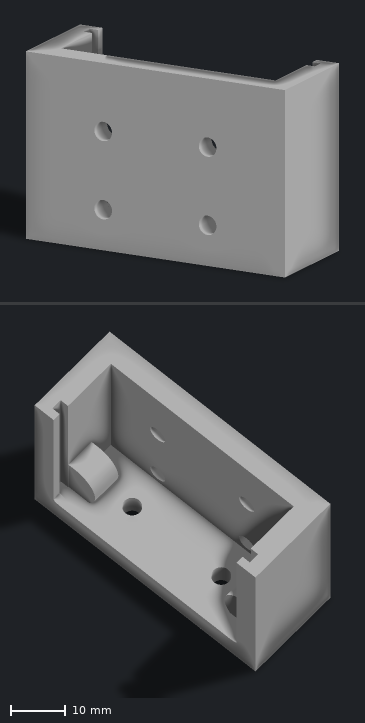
import cadquery as cq

width = 54.6
depth = 20.8
height = 36.0

side_wall = 4.7
front_wall = 4.9
floor_thickness = 4.9

groove_depth = 1.8
lip_thickness = 1.7
groove_width = 2.3

filler_thickness = 1.85
filler_radius = 3.45

boss_radius = 4.95
boss_length = 6.45
boss_back_gap = 4.1

hole_diameter = 3.7
hole_spacing_x = 22.0
front_hole_spacing_z = 15.0
front_hole_low_z = 7.8
floor_hole_y = 12.0

inner_half_width = width / 2 - side_wall
groove_half_width = inner_half_width + groove_depth
corner_axis_x = groove_half_width - filler_radius
corner_axis_z = floor_thickness + filler_radius
boss_back_y = depth - boss_back_gap


def box_between(x_range, y_range, z_range):
    """Box spanning the given (low, high) limits."""
    sizes = [high - low for low, high in (x_range, y_range, z_range)]
    return cq.Workplane("XY").box(*sizes, centered=False).translate((x_range[0], y_range[0], z_range[0]))


def cylinder_along_y(x, z, radius, y_range):
    """Cylinder parallel to Y, spanning the given (low, high) Y limits."""
    length = y_range[1] - y_range[0]
    axis = cq.Vector(0, 1, 0)
    return cq.Workplane(cq.Solid.makeCylinder(radius, length, cq.Vector(x, y_range[0], z), axis))


def make_shell():
    """Block with the cavity and the two plate grooves removed."""
    block = box_between((-width / 2, width / 2), (0, depth), (0, height))
    cavity = box_between(
        (-inner_half_width, inner_half_width), (front_wall, depth), (floor_thickness, height)
    )
    groove_back_y = depth - lip_thickness
    grooves = box_between(
        (-groove_half_width, groove_half_width),
        (groove_back_y - groove_width, groove_back_y),
        (floor_thickness, height),
    )
    return block.cut(cavity).cut(grooves)


def make_right_boss():
    """Boss with a flat top running from the right wall to a round end."""
    y_range = (boss_back_y - boss_length, boss_back_y)
    arm = box_between(
        (corner_axis_x, inner_half_width),
        y_range,
        (floor_thickness, corner_axis_z + boss_radius),
    )
    round_end = cylinder_along_y(corner_axis_x, corner_axis_z, boss_radius, y_range)
    return arm.union(round_end)


def make_right_filler():
    """Lower corner filler with a concave top, tangent to the floor and the groove bottom."""
    y_range = (depth - filler_thickness, depth)
    corner = box_between(
        (corner_axis_x, groove_half_width), y_range, (floor_thickness, corner_axis_z)
    )
    return corner.cut(cylinder_along_y(corner_axis_x, corner_axis_z, filler_radius, y_range))


def make_front_holes():
    """Four holes through the front wall."""
    holes = cq.Workplane("XY")
    for x in (-hole_spacing_x / 2, hole_spacing_x / 2):
        for z in (front_hole_low_z, front_hole_low_z + front_hole_spacing_z):
            holes = holes.add(cylinder_along_y(x, z, hole_diameter / 2, (0, front_wall)))
    return holes.combine()


def make_floor_holes():
    """Two holes through the floor."""
    centres = [(-hole_spacing_x / 2, floor_hole_y), (hole_spacing_x / 2, floor_hole_y)]
    return cq.Workplane("XY").pushPoints(centres).circle(hole_diameter / 2).extrude(floor_thickness)


result = make_shell()
for right_feature in (make_right_boss(), make_right_filler()):
    result = result.union(right_feature).union(right_feature.mirror("YZ"))
result = result.cut(make_front_holes()).cut(make_floor_holes())